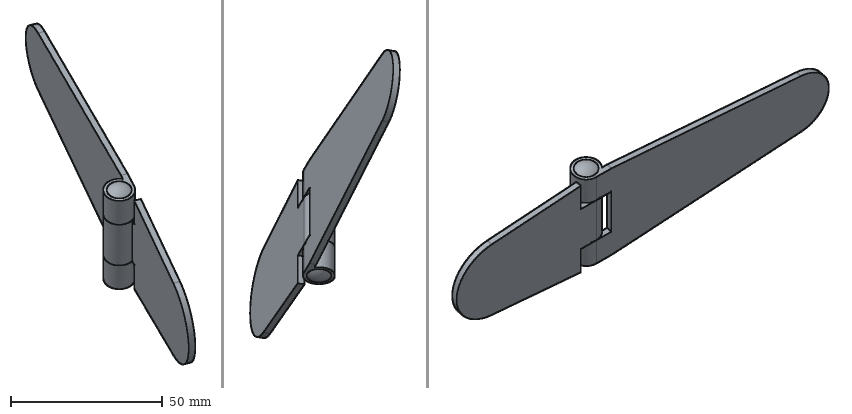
import cadquery as cq
import math


overall_length = 158.0
long_leaf_reach = 98.7
long_tip_radius = 13.1
short_tip_radius = 16.6
leaf_thickness = 2.4
barrel_diameter = 10.6
barrel_height = 40.5
middle_knuckle_height = 18.6
leaf_root_offset = 6.5
pin_radius = 4.1
pin_length = 43.1

short_leaf_reach = overall_length - long_leaf_reach
barrel_radius = barrel_diameter / 2
half_height = barrel_height / 2
half_middle = middle_knuckle_height / 2
end_knuckle_height = half_height - half_middle
half_pin = pin_length / 2
leaf_front = barrel_radius - leaf_thickness


def leaf_plate(reach, tip_radius, side):
    """Tapered plate with a round tip; side is -1 toward -X and +1 toward +X."""
    tip_center = reach - tip_radius
    run = tip_center - leaf_root_offset
    tangent_angle = math.atan2(half_height, -run) - math.acos(tip_radius / math.hypot(run, half_height))
    tangent_x = side * (tip_center + tip_radius * math.cos(tangent_angle))
    tangent_z = tip_radius * math.sin(tangent_angle)
    root_x = side * leaf_root_offset
    return (
        cq.Workplane("XZ", origin=(0, barrel_radius, 0))
        .moveTo(root_x, -half_height)
        .lineTo(tangent_x, -tangent_z)
        .threePointArc((side * reach, 0), (tangent_x, tangent_z))
        .lineTo(root_x, half_height)
        .close()
        .extrude(leaf_thickness)
    )


def knuckle(bottom, height, side):
    """Barrel section and the flat tab that joins it tangentially to its leaf."""
    barrel = cq.Workplane("XY", origin=(0, 0, bottom)).circle(barrel_radius).extrude(height)
    tab_center = (side * leaf_root_offset / 2, leaf_front + leaf_thickness / 2)
    tab = (
        cq.Workplane("XY", origin=(0, 0, bottom))
        .center(*tab_center)
        .rect(leaf_root_offset, leaf_thickness)
        .extrude(height)
    )
    return barrel.union(tab)


def bore(body):
    """Cut the pin hole through the knuckles of a leaf."""
    hole = cq.Workplane("XY", origin=(0, 0, -half_height)).circle(pin_radius).extrude(barrel_height)
    return body.cut(hole)


def make_long_leaf():
    """Leaf toward -X with the two end knuckles."""
    leaf = leaf_plate(long_leaf_reach, long_tip_radius, -1)
    for bottom in (-half_height, half_middle):
        leaf = leaf.union(knuckle(bottom, end_knuckle_height, -1))
    return bore(leaf)


def make_short_leaf():
    """Leaf toward +X with the middle knuckle."""
    leaf = leaf_plate(short_leaf_reach, short_tip_radius, 1)
    return bore(leaf.union(knuckle(-half_middle, middle_knuckle_height, 1)))


def make_pin():
    """Round pin with a spherical dome beyond each end of the barrel."""
    dome_height = half_pin - half_height
    dome_radius = (pin_radius**2 + dome_height**2) / (2 * dome_height)
    dome_center = half_pin - dome_radius
    mid_angle = math.asin(pin_radius / dome_radius) / 2
    mid_x = dome_radius * math.sin(mid_angle)
    mid_z = dome_center + dome_radius * math.cos(mid_angle)
    return (
        cq.Workplane("XZ")
        .moveTo(0, -half_pin)
        .threePointArc((mid_x, -mid_z), (pin_radius, -half_height))
        .lineTo(pin_radius, half_height)
        .threePointArc((mid_x, mid_z), (0, half_pin))
        .close()
        .revolve(360, (0, 0, 0), (0, 1, 0))
    )


long_leaf = make_long_leaf()
short_leaf = make_short_leaf()
pin = make_pin()

result = cq.Compound.makeCompound([long_leaf.solids().val(), short_leaf.solids().val(), pin.val()])